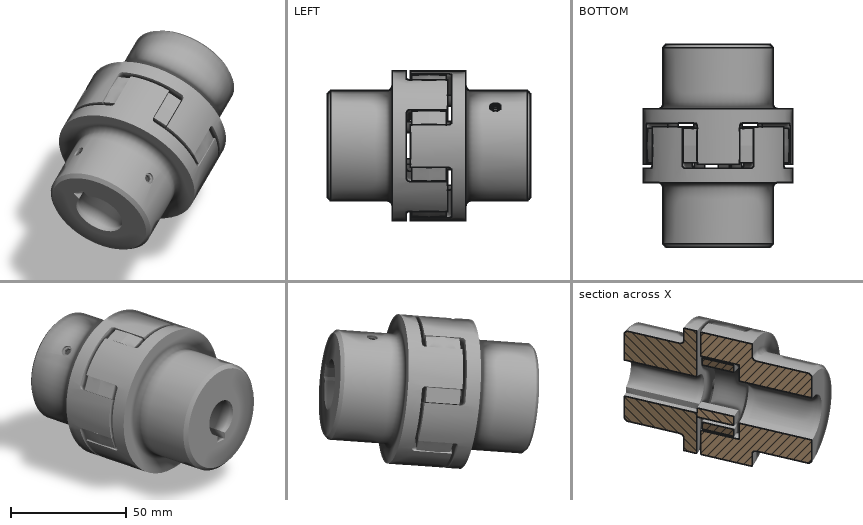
import cadquery as cq
import math


coupling_length = 88.1
jaw_outer_radius = 32.5
neck_radius = 24.0
flange_back = 16.0
jaw_floor = 9.8
jaw_reach = 8.1
neck_fillet = 2.0
end_chamfer = 1.5
hub_end = coupling_length / 2

jaw_count = 4
jaw_pitch = 360 / jaw_count
jaw_inner_radius = 19.6
jaw_rim_width = 18.4
jaw_nose_width = 7.0
jaw_rim_station = math.sqrt(jaw_outer_radius**2 - (jaw_rim_width / 2) ** 2)
jaw_nose_station = math.sqrt(jaw_inner_radius**2 - (jaw_nose_width / 2) ** 2)
jaw_root_fillet = 1.5
nose_allowance = 0.9
cut_overrun = 7.05

front_bore_radius = 11.0
front_keyway_width = 6.1
front_keyway_depth = 14.3
rear_bore_radius = 8.1
rear_keyway_width = 5.0
rear_keyway_depth = 10.75

screw_distance = 28.8
screw_radius = 2.4
screw_seat_radius = 23.0
socket_corner_diameter = 3.3
socket_depth = 1.4

spider_leg_count = 2 * jaw_count
spider_half_width = 7.5
spider_bore_radius = 15.0
spider_ring_radius = 18.95
leg_root = 17.6
leg_tip_width = 6.35
leg_root_width = 7.9
leg_ridge = 32.2
leg_edge = 31.7
stud_radius = 2.4
stud_circle_radius = 21.15

key_size = 5.0

tolerance = 0.01

front_hub_turn = 0.4
spider_turn = front_hub_turn / 2
rear_keyway_angle = 270
front_keyway_angle = 135
screw_angles = [45, 135]


def turned(body, angle):
    """Turn a body about the Y axis, positive from +X toward +Z."""
    return body.rotate((0, 0, 0), (0, 1, 0), -angle)


def disc(radius, y_start, y_end):
    """Cylinder about the Y axis."""
    return cq.Workplane("XZ", origin=(0, y_start, 0)).circle(radius).extrude(y_start - y_end)


def box_between(x_range, y_range, z_range):
    """Box given by its limits on each axis."""
    corner = (x_range[0], y_range[0], z_range[0])
    size = (x_range[1] - x_range[0], y_range[1] - y_range[0], z_range[1] - z_range[0])
    return cq.Workplane("XY").box(*size, centered=False).translate(corner)


def tapered_bar(start, start_width, end, end_width, y_start, y_end):
    """Bar along +X whose width changes evenly between the two given stations."""
    return (
        cq.Workplane("XZ", origin=(0, y_start, 0))
        .moveTo(start, -start_width / 2)
        .lineTo(end, -end_width / 2)
        .lineTo(end, end_width / 2)
        .lineTo(start, start_width / 2)
        .close()
        .extrude(y_start - y_end)
    )


def jaw_core():
    """Jaw on +X of the front hub, with a hollow nose; it runs out past the rim."""
    flank_slope = (jaw_rim_width - jaw_nose_width) / (jaw_rim_station - jaw_nose_station)
    far_station = jaw_outer_radius + 2 * cut_overrun
    far_width = jaw_rim_width + flank_slope * (far_station - jaw_rim_station)
    near_station = jaw_nose_station - nose_allowance
    near_width = jaw_nose_width - flank_slope * nose_allowance
    core = tapered_bar(near_station, near_width, far_station, far_width, -jaw_floor, jaw_reach)
    return core.cut(disc(jaw_inner_radius, -jaw_floor, jaw_reach))


def is_flank_root(edge):
    """True for the straight edges where the flanks of the jaws meet the floor."""
    on_floor = abs(edge.positionAt(0.5).y + jaw_floor) < tolerance
    return on_floor and edge.geomType() == "LINE"


def jaw_clearance():
    """The space around the jaws, with its floor edges rounded; it runs out past the rim."""
    space = disc(jaw_outer_radius + cut_overrun, -jaw_floor, jaw_reach)
    for index in range(jaw_count):
        space = space.cut(turned(jaw_core(), index * jaw_pitch))
    return space.edges().filter(is_flank_root).fillet(jaw_root_fillet)


def hub_blank():
    """Turned hub on the -Y side: neck with a chamfered end, fillet, and rim up to the jaw tips."""
    fillet_middle = neck_fillet * (1 - math.sqrt(0.5))
    return (
        cq.Workplane("XY")
        .moveTo(0, -hub_end)
        .lineTo(neck_radius - end_chamfer, -hub_end)
        .lineTo(neck_radius, -hub_end + end_chamfer)
        .lineTo(neck_radius, -flange_back - neck_fillet)
        .threePointArc(
            (neck_radius + fillet_middle, -flange_back - fillet_middle),
            (neck_radius + neck_fillet, -flange_back),
        )
        .lineTo(jaw_outer_radius, -flange_back)
        .lineTo(jaw_outer_radius, jaw_reach)
        .lineTo(0, jaw_reach)
        .close()
        .revolve(360, (0, 0, 0), (0, 1, 0))
    )


def hub(bore_radius, keyway_width, keyway_depth, keyway_angle):
    """Hub on the -Y side with jaws on the X and Z axes."""
    body = hub_blank().cut(jaw_clearance())
    bore = disc(bore_radius, -hub_end, 0)
    keyway = box_between(
        (0, keyway_depth), (-hub_end, 0), (-keyway_width / 2, keyway_width / 2)
    )
    return body.cut(bore).cut(turned(keyway, keyway_angle))


def screw_recess():
    """Recess on +X above a set screw, with the hexagon socket in its outer face."""
    plane = cq.Workplane("YZ", origin=(screw_seat_radius, -screw_distance, 0))
    recess = plane.circle(screw_radius).extrude(neck_radius)
    socket = plane.polygon(6, socket_corner_diameter).extrude(-socket_depth)
    return recess.union(socket)


def make_front_hub():
    body = hub(front_bore_radius, front_keyway_width, front_keyway_depth, front_keyway_angle)
    for angle in screw_angles:
        body = body.cut(turned(screw_recess(), angle))
    return turned(body, front_hub_turn)


def make_rear_hub():
    """The hub turned end for end, its jaws between those of the front hub."""
    flipped_keyway_angle = 180 - rear_keyway_angle + jaw_pitch / 2
    body = hub(rear_bore_radius, rear_keyway_width, rear_keyway_depth, flipped_keyway_angle)
    return turned(body.rotate((0, 0, 0), (0, 0, 1), 180), jaw_pitch / 2)


def spider_leg():
    """Leg on +X, narrowing outward, with a shallow ridge across its outer end."""
    ridged_plate = (
        cq.Workplane("XY", origin=(0, 0, -leg_root_width))
        .moveTo(0, -spider_half_width)
        .lineTo(leg_edge, -spider_half_width)
        .lineTo(leg_ridge, 0)
        .lineTo(leg_edge, spider_half_width)
        .lineTo(0, spider_half_width)
        .close()
        .extrude(2 * leg_root_width)
    )
    bar = tapered_bar(
        leg_root, leg_root_width, leg_ridge, leg_tip_width, -spider_half_width, spider_half_width
    )
    return bar.intersect(ridged_plate)


def make_spider():
    body = disc(spider_ring_radius, -spider_half_width, spider_half_width)
    leg_pitch = 360 / spider_leg_count
    for index in range(spider_leg_count):
        stud_tip = jaw_floor if index % 2 else -jaw_floor
        stud = disc(stud_radius, 0, stud_tip).translate((stud_circle_radius, 0, 0))
        body = body.union(turned(spider_leg().union(stud), (index + 0.5) * leg_pitch))
    bore = disc(spider_bore_radius, -spider_half_width, spider_half_width)
    return turned(body.cut(bore), spider_turn)


def make_key():
    return box_between(
        (0, key_size),
        (-spider_half_width, jaw_floor),
        (-rear_bore_radius - key_size, -rear_bore_radius),
    )


front_hub = make_front_hub()
rear_hub = make_rear_hub()
spider = make_spider()
key = make_key()

bodies = [front_hub, rear_hub, spider, key]
result = cq.Compound.makeCompound([body.solids().val() for body in bodies])